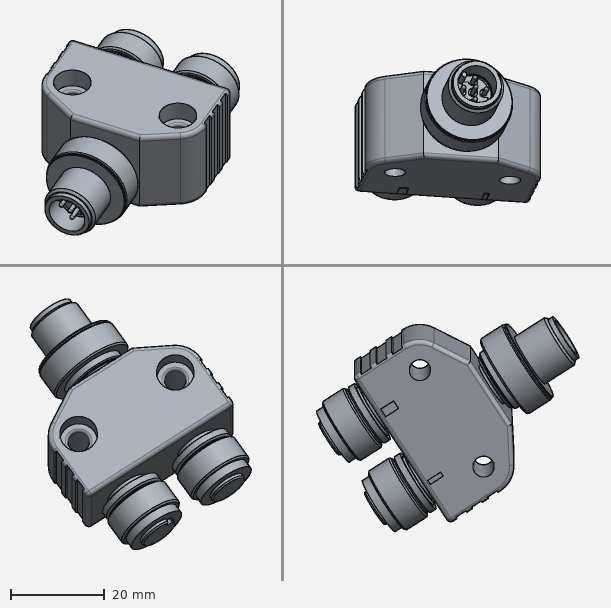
import cadquery as cq
import math


body_width = 38.0
body_length = 22.95
body_height = 20.0
edge_radius = 1.0
screw_offset_x = 12.5
screw_y = 10.05
shoulder_radius = body_width / 2 - screw_offset_x
shoulder_angle = 30

screw_hole_dia = 4.5
counterbore_dia = 8.0
counterbore_depth = 4.45
screw_edge_radius = 0.6

groove_width = 2.5
groove_depth = 0.5
groove_pitch = 4.0
groove_count = 3
first_groove_from_back = 1.95

pad_height = 0.2
pad_length = 3.25
pad_center_y = 20.0
left_pad_width = 1.95
right_pad_width = 1.05
pad_offset_x = 9.0

socket_offset_x = 9.0
neck_dia = 9.6
overlap = 0.55
coding_angle = 135
notch_dia = 1.5
notch_center_radius = 3.9

plug_length = 19.0
plug_bore_dia = 8.4
carrier_dia = 8.0
insert_recess = 5.0
land_height = 0.5
land_radius = 3.45
well_dia = 1.95
insert_face = insert_recess - plug_length
bore_floor = insert_face + land_height
pin_dia = 1.0
pin_circle_radius = 2.5
center_pin_recess = 1.15
outer_pin_recess = 2.05
key_dia = 1.15
key_center_radius = 3.6
key_recess = 1.4
key_clearance = 2.3


def housing():
    """Flat block with rounded shoulders tapering to the pin connector, all edges rounded."""
    half_width = body_width / 2
    slope = math.radians(shoulder_angle)

    def shoulder_point(angle):
        return (
            screw_offset_x + shoulder_radius * math.cos(angle),
            screw_y + shoulder_radius * math.sin(angle),
        )

    middle = shoulder_point(-(math.pi / 2 - slope) / 2)
    end = shoulder_point(-(math.pi / 2 - slope))
    front_half_width = end[0] - end[1] / math.tan(slope)
    block = (
        cq.Workplane("XY", origin=(0, 0, -body_height / 2))
        .moveTo(front_half_width, 0)
        .lineTo(*end)
        .threePointArc(middle, (half_width, screw_y))
        .lineTo(half_width, body_length)
        .lineTo(-half_width, body_length)
        .lineTo(-half_width, screw_y)
        .threePointArc((-middle[0], middle[1]), (-end[0], end[1]))
        .lineTo(-front_half_width, 0)
        .close()
        .extrude(body_height)
    )
    block = block.edges("|Z").edges(">Y").fillet(edge_radius)
    return block.faces("<Z or >Z").edges().fillet(edge_radius)


def grip_grooves():
    grooves = cq.Workplane("XY")
    for side in (-1, 1):
        for index in range(groove_count):
            start = body_length - first_groove_from_back - index * groove_pitch
            groove = cq.Workplane("XY").box(2 * groove_depth, groove_width, body_height)
            grooves = grooves.add(
                groove.translate((side * body_width / 2, start - groove_width / 2, 0))
            )
    return grooves.combine()


def screw_hole(x):
    """Vertical through hole with a counterbore and a rounded edge at its floor."""
    floor = body_height / 2 - counterbore_depth
    radius = screw_hole_dia / 2
    profile = (
        cq.Workplane("XZ")
        .moveTo(0, -body_height / 2)
        .lineTo(radius, -body_height / 2)
        .lineTo(radius, floor - screw_edge_radius)
        .radiusArc((radius + screw_edge_radius, floor), screw_edge_radius)
        .lineTo(counterbore_dia / 2, floor)
        .lineTo(counterbore_dia / 2, body_height / 2)
        .lineTo(0, body_height / 2)
        .close()
    )
    return profile.revolve(360, (0, 0, 0), (0, 1, 0)).translate((x, screw_y, 0))


def marking_pad(x, width):
    pad = cq.Workplane("XY").box(width, pad_length, 2 * pad_height)
    return pad.translate((x, pad_center_y, -body_height / 2))


def turned(stations):
    """Solid of revolution about Y through (diameter, y) stations listed along the axis."""
    outline = [(0, stations[0][1])]
    outline += [(diameter / 2, y) for diameter, y in stations]
    outline += [(0, stations[-1][1])]
    return cq.Workplane("XY").polyline(outline).close().revolve(360, (0, 0, 0), (0, 1, 0))


def along_y(diameter, start, end, radius=0, angle=0):
    """Cylinder parallel to Y, its axis at a polar position in the XZ plane."""
    x = radius * math.cos(math.radians(angle))
    z = radius * math.sin(math.radians(angle))
    return (
        cq.Workplane("XZ", origin=(x, start, z)).circle(diameter / 2).extrude(start - end)
    )


def socket():
    """Socket connector on the Y axis: neck, collar, coupling ring, sleeve and face."""
    return turned([
        (neck_dia, body_length - overlap),
        (neck_dia, 24.0),
        (11.35, 24.0),
        (12.3, 24.4),
        (14.2, 24.4),
        (14.2, 25.85),
        (13.2, 26.2),
        (13.2, 26.6),
        (14.2, 26.6),
        (15.0, 27.0),
        (15.0, 32.1),
        (14.2, 32.5),
        (13.0, 32.5),
        (13.0, 34.45),
        (8.4, 34.45),
        (8.4, 35.1),
        (8.0, 35.5),
    ])


def coding_notch():
    return along_y(notch_dia, 35.5, 34.45, notch_center_radius, coding_angle)


def plug_shell():
    """Pin connector's outside: neck, collars, coupling ring and hollow barrel."""
    shell = turned([
        (neck_dia, overlap),
        (neck_dia, -0.75),
        (12.3, -0.75),
        (13.0, -1.3),
        (13.0, -1.5),
        (13.8, -1.5),
        (14.2, -1.8),
        (14.2, -3.2),
        (18.4, -3.2),
        (19.0, -3.6),
        (19.0, -9.05),
        (18.65, -9.3),
        (18.65, -9.65),
        (18.4, -9.85),
        (12.0, -9.85),
        (12.0, -17.4),
        (10.9, -17.95),
        (10.45, -17.95),
        (10.45, -plug_length),
    ])
    shell = shell.cut(along_y(plug_bore_dia, insert_face, -plug_length))
    return shell.cut(along_y(carrier_dia, bore_floor, insert_face))


def insert_lands():
    """Raised face of the pin carrier, with a round well per pin; the outer wells open outward."""
    lands = along_y(2 * land_radius, bore_floor, insert_face)
    lands = lands.cut(along_y(well_dia, bore_floor, insert_face))
    middle = (bore_floor + insert_face) / 2
    for angle in range(0, 360, 90):
        well = along_y(well_dia, bore_floor, insert_face, pin_circle_radius)
        opening = (
            cq.Workplane("XY")
            .box(land_radius, land_height, well_dia)
            .translate((pin_circle_radius + land_radius / 2, middle, 0))
        )
        lands = lands.cut(well.union(opening).rotate((0, 0, 0), (0, 1, 0), angle))
    clearance = cq.Workplane("XY").box(land_radius, land_height, land_radius)
    inner_corner = cq.Workplane("XY").box(2 * key_clearance, land_height, 2 * key_clearance)
    clearance = clearance.translate((-land_radius / 2, 0, land_radius / 2)).cut(inner_corner)
    return lands.cut(clearance.translate((0, middle, 0)))


def pin(recess, radius=0, angle=0):
    """Contact pin with a hemispherical tip set back from the front rim of the plug."""
    shoulder = recess + pin_dia / 2 - plug_length
    ball = cq.Workplane("XY").sphere(pin_dia / 2).translate((radius, shoulder, 0))
    straight_pin = along_y(pin_dia, bore_floor + overlap, shoulder, radius).union(ball)
    return straight_pin.rotate((0, 0, 0), (0, 1, 0), angle)


def plug():
    connector = plug_shell().union(insert_lands())
    connector = connector.union(pin(center_pin_recess))
    for angle in range(0, 360, 90):
        connector = connector.union(pin(outer_pin_recess, pin_circle_radius, angle))
    key_root = bore_floor + overlap
    key = along_y(key_dia, key_root, key_recess - plug_length, key_center_radius, coding_angle)
    return connector.union(key)


result = housing().cut(grip_grooves())
for side in (-1, 1):
    result = result.cut(screw_hole(side * screw_offset_x))
    result = result.union(socket().translate((side * socket_offset_x, 0, 0)))
result = result.cut(coding_notch().translate((socket_offset_x, 0, 0)))
result = result.union(marking_pad(-pad_offset_x, left_pad_width))
result = result.union(marking_pad(pad_offset_x, right_pad_width))
result = result.union(plug())